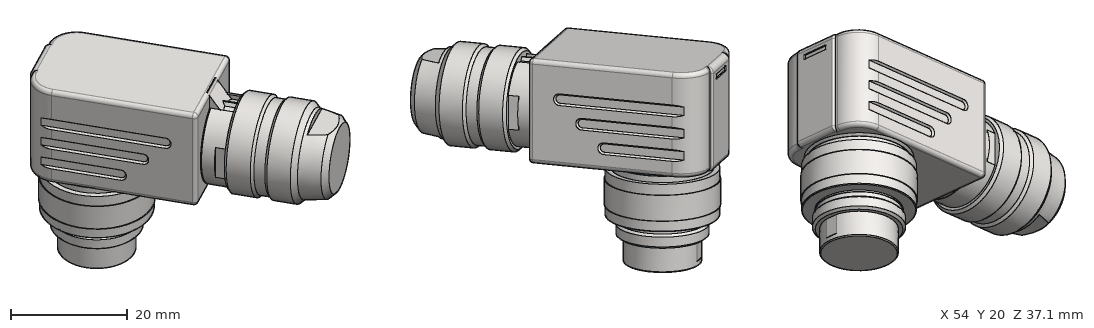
import cadquery as cq
import math


HOUSING_LEFT = -10.1
HOUSING_RIGHT = 20.9
HOUSING_WIDTH = 20.0
HOUSING_TOP = 10.7
HOUSING_BOTTOM = -8.0
CORNER_RADIUS = 5.0
EDGE_FILLET = 0.8

PLATE_WIDTH = 9.0
PLATE_RISE = 0.5
PLATE_EMBED = 2.5
PLATE_SIDE_FILLET = 0.35
PLATE_TOP_FILLET = 1.15
LATCH_WIDTH = 5.2
LATCH_HEIGHT = 0.9
LATCH_DROP = 1.75
LATCH_DEPTH = 0.3

SLOT_FLOOR_DIAMETER = 1.5
SLOT_MOUTH_DIAMETER = 2.1
SLOT_DEPTH = 0.4
SLOT_PITCH = 4.0
SLOT_LAST_CENTER_X = 7.25
SLOT_COUNT = 3

NECK_RADIUS = 8.0
NECK_RELIEF_RADIUS = 7.9
NECK_RELIEF_END = 21.1
NECK_FLAT_OFFSET = 7.4
NECK_FLAT_START = 23.45
NUT_START = 25.35

WEB_WIDTH = 5.0
WEB_START_X = 20.5
WEB_START_Z = 10.65
WEB_END_X = 23.4
WEB_END_Z = 6.7
TRACK_RADIUS = 7.2
RIB_TOP_Z = 7.8
RIB_TOP_WIDTH = 0.3
RIB_BASE_WIDTH = 1.5
RIB_BASE_Z = 6.9

NUT_RADIUS = 9.0
NUT_GROOVE_RADIUS = 8.5
NUT_CHAMFER = 0.5
NUT_GROOVE_START = 30.65
NUT_GROOVE_END = 32.6
NUT_SHOULDER = 37.3
TAIL_START = 38.3
TAIL_RADIUS = 8.05
TAIL_RIM_RADIUS = 7.35
TAIL_END_CHAMFER = 1.1
TAIL_END = 43.4
TAIL_FLAT_OFFSET = 6.6
TAIL_FLAT_START = 38.95

COLLAR_RADIUS = 9.4
COLLAR_FOOT_RADIUS = 8.95
COLLAR_END = -8.4
PLUG_NECK_RADIUS = 17.7 / 2
RING_START = -9.55
RING_RADIUS = 19.7 / 2
BAND_START = -11.5
BAND_RADIUS = 20.0 / 2
BAND_END = -16.15
RING_END = -18.1
RING_CHAMFER = 0.15
THROAT_RADIUS = 15.0 / 2
THROAT_END = -19.2
THROAT_LIP_RADIUS = 7.6
THROAT_LIP_END = -18.4
FLANGE_RADIUS = 16.0 / 2
FLANGE_START = -19.6
FLANGE_CHAMFER_START = -21.35
FLANGE_END = -21.75
SPIGOT_RADIUS = 13.5 / 2
SPIGOT_END = -26.4
SPIGOT_CHAMFER = 0.2
KEY_WIDTH = 2.5
KEY_END = -25.4


def box_between(x_range, y_range, z_range):
    """Axis-aligned box given by its limits along X, Y and Z."""
    size = [limits[1] - limits[0] for limits in (x_range, y_range, z_range)]
    corner = (x_range[0], y_range[0], z_range[0])
    return cq.Workplane("XY").box(*size, centered=False).translate(corner)


def make_housing():
    """Block with large back corners and softened edges."""
    block = box_between(
        (HOUSING_LEFT, HOUSING_RIGHT),
        (-HOUSING_WIDTH / 2, HOUSING_WIDTH / 2),
        (HOUSING_BOTTOM, HOUSING_TOP),
    )
    block = block.edges("|Z and <X").fillet(CORNER_RADIUS)
    block = block.edges("|Z and >X").fillet(EDGE_FILLET)
    return block.faces("<Z or >Z").edges().fillet(EDGE_FILLET)


def make_back_plate():
    """Raised back plate with rounded edges and a shallow latch recess."""
    face_x = HOUSING_LEFT - PLATE_RISE
    plate = box_between(
        (face_x, HOUSING_LEFT + PLATE_EMBED),
        (-PLATE_WIDTH / 2, PLATE_WIDTH / 2),
        (HOUSING_BOTTOM, HOUSING_TOP),
    )
    plate = plate.edges("<X and >Z").fillet(PLATE_TOP_FILLET)
    plate = plate.edges("<X and <Z").fillet(EDGE_FILLET)
    plate = plate.faces("<X").edges("|Z").fillet(PLATE_SIDE_FILLET)
    latch_top = HOUSING_TOP - LATCH_DROP
    latch = box_between(
        (face_x, face_x + LATCH_DEPTH),
        (-LATCH_WIDTH / 2, LATCH_WIDTH / 2),
        (latch_top - LATCH_HEIGHT, latch_top),
    )
    return plate.cut(latch)


def make_grip_slots():
    """Cutters for the grip slots, open at the back and shorter further down."""
    taper = math.degrees(math.atan((SLOT_MOUTH_DIAMETER - SLOT_FLOOR_DIAMETER) / 2 / SLOT_DEPTH))
    cutters = cq.Workplane("XY")
    for row in range(SLOT_COUNT):
        center_x = SLOT_LAST_CENTER_X + row * SLOT_PITCH
        center_z = (row - (SLOT_COUNT - 1) / 2) * SLOT_PITCH
        length = center_x - HOUSING_LEFT
        cutter = (
            cq.Workplane("XZ", origin=(0, -HOUSING_WIDTH / 2, 0))
            .center(center_x - length / 2, center_z)
            .slot2D(length + SLOT_MOUTH_DIAMETER, SLOT_MOUTH_DIAMETER)
            .extrude(-SLOT_DEPTH, taper=taper)
        )
        cutters = cutters.add(cutter).add(cutter.mirror("XZ"))
    return cutters.combine()


def make_neck():
    """Round gland neck with a root relief, side flats, a sloped web and a ribbed track."""
    neck = cq.Workplane("YZ").circle(NECK_RELIEF_RADIUS).extrude(NECK_RELIEF_END)
    neck = neck.faces(">X").workplane().circle(NECK_RADIUS).extrude(NUT_START - NECK_RELIEF_END)
    for side in (-1, 1):
        outer = side * NECK_RADIUS
        inner = side * NECK_FLAT_OFFSET
        y_range = (min(outer, inner), max(outer, inner))
        flat = box_between((NECK_FLAT_START, NUT_START), y_range, (-NECK_RADIUS, NECK_RADIUS))
        neck = neck.cut(flat)

    track_core = cq.Workplane("YZ").circle(TRACK_RADIUS).extrude(NUT_START)
    track = box_between(
        (WEB_START_X, NUT_START), (-WEB_WIDTH / 2, WEB_WIDTH / 2), (0, NECK_RADIUS)
    )
    neck = neck.cut(track.cut(track_core))

    slope = (WEB_START_Z - WEB_END_Z) / (WEB_END_X - WEB_START_X)
    web_foot_x = WEB_START_X + WEB_START_Z / slope
    web = (
        cq.Workplane("XZ")
        .moveTo(0, 0)
        .lineTo(web_foot_x, 0)
        .lineTo(WEB_START_X, WEB_START_Z)
        .lineTo(0, WEB_START_Z)
        .close()
        .extrude(WEB_WIDTH / 2, both=True)
    )
    rib = (
        cq.Workplane("YZ", origin=(WEB_START_X, 0, 0))
        .moveTo(-RIB_BASE_WIDTH / 2, RIB_BASE_Z)
        .lineTo(-RIB_TOP_WIDTH / 2, RIB_TOP_Z)
        .lineTo(RIB_TOP_WIDTH / 2, RIB_TOP_Z)
        .lineTo(RIB_BASE_WIDTH / 2, RIB_BASE_Z)
        .close()
        .extrude(NUT_START - WEB_START_X)
    )
    return neck.union(web).union(rib)


def make_gland_nut():
    """Grooved nut with a tapered cable end that has two wrench flats."""
    profile = [
        (NUT_START, 0),
        (NUT_START, NUT_RADIUS - NUT_CHAMFER),
        (NUT_START + NUT_CHAMFER, NUT_RADIUS),
        (NUT_GROOVE_START - NUT_CHAMFER, NUT_RADIUS),
        (NUT_GROOVE_START, NUT_GROOVE_RADIUS),
        (NUT_GROOVE_END, NUT_GROOVE_RADIUS),
        (NUT_GROOVE_END + NUT_CHAMFER, NUT_RADIUS),
        (NUT_SHOULDER, NUT_RADIUS),
        (TAIL_START, TAIL_RADIUS),
        (TAIL_END - TAIL_END_CHAMFER, TAIL_RIM_RADIUS),
        (TAIL_END, TAIL_RIM_RADIUS - TAIL_END_CHAMFER),
        (TAIL_END, 0),
    ]
    nut = cq.Workplane("XY").polyline(profile).close().revolve(360, (0, 0, 0), (1, 0, 0))
    for z_range in ((TAIL_FLAT_OFFSET, NUT_RADIUS), (-NUT_RADIUS, -TAIL_FLAT_OFFSET)):
        nut = nut.cut(box_between((TAIL_FLAT_START, TAIL_END), (-NUT_RADIUS, NUT_RADIUS), z_range))
    return nut


def make_plug():
    """Stepped round plug with a coupling ring and a key flat on the back."""
    profile = [
        (0, 0),
        (COLLAR_FOOT_RADIUS, 0),
        (COLLAR_RADIUS, HOUSING_BOTTOM),
        (COLLAR_FOOT_RADIUS, COLLAR_END),
        (PLUG_NECK_RADIUS, COLLAR_END),
        (PLUG_NECK_RADIUS, RING_START),
        (RING_RADIUS, RING_START),
        (RING_RADIUS, BAND_START),
        (BAND_RADIUS, BAND_START),
        (BAND_RADIUS, BAND_END),
        (RING_RADIUS, BAND_END),
        (RING_RADIUS, RING_END + RING_CHAMFER),
        (RING_RADIUS - RING_CHAMFER, RING_END),
        (THROAT_LIP_RADIUS, RING_END),
        (THROAT_LIP_RADIUS, THROAT_LIP_END),
        (THROAT_RADIUS, THROAT_LIP_END),
        (THROAT_RADIUS, THROAT_END),
        (FLANGE_RADIUS, FLANGE_START),
        (FLANGE_RADIUS, FLANGE_CHAMFER_START),
        (THROAT_RADIUS, FLANGE_END),
        (SPIGOT_RADIUS, FLANGE_END),
        (SPIGOT_RADIUS, SPIGOT_END + SPIGOT_CHAMFER),
        (SPIGOT_RADIUS - SPIGOT_CHAMFER, SPIGOT_END),
        (0, SPIGOT_END),
    ]
    plug = cq.Workplane("XZ").polyline(profile).close().revolve(360, (0, 0, 0), (0, 1, 0))
    key_flat_offset = math.sqrt(SPIGOT_RADIUS**2 - (KEY_WIDTH / 2) ** 2)
    key_flat = box_between(
        (-SPIGOT_RADIUS, -key_flat_offset),
        (-KEY_WIDTH / 2, KEY_WIDTH / 2),
        (KEY_END, FLANGE_END),
    )
    return plug.cut(key_flat)


housing = make_housing().union(make_back_plate()).cut(make_grip_slots())
result = housing.union(make_neck()).union(make_gland_nut()).union(make_plug())